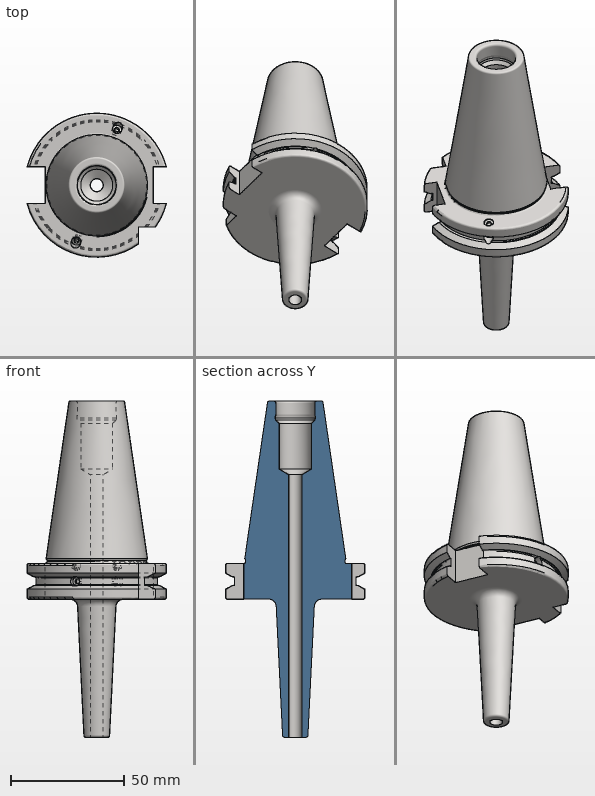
import cadquery as cq
import math

GAUGE_DIAMETER = 44.45
TAPER_LENGTH = 68.4
TAPER_HALF_ANGLE = math.atan(7 / 48)
TAPER_OVERRUN = 1.1
TAPER_TOP_FILLET = 0.8

NECK_RADIUS = 22.0
NECK_CHAMFER = 0.8
NECK_FILLET = 0.8

FLANGE_RADIUS = 63.55 / 2
FLANGE_TOP_Z = -3.2
FLANGE_BOTTOM_Z = -19.1
RIM_FILLET = 1.0
GROOVE_Z = -11.1
GROOVE_FLOOR_RADIUS = 28.0
GROOVE_FLOOR_WIDTH = 3.75
GROOVE_FLOOR_FILLET = 0.4
GROOVE_HALF_ANGLE = math.radians(30)
GROOVE_APEX_RADIUS = 25.65

SLOT_WIDTH = 16.1
LEFT_SLOT_X = -22.8
RIGHT_SLOT_X = 25.0
NOTCH_X = 18.5
NOTCH_Y = -18.5

SHANK_BOTTOM_Z = -80.0
SHANK_TIP_RADIUS = 5.65
SHANK_ROOT_RADIUS = 8.5
SHANK_ROOT_Z = -22.3
SHANK_ROOT_FILLET = 3.2
SHANK_TIP_FILLET = 1.0

BORE_RADIUS = 8.5
MOUTH_ROUNDING = 1.1
BORE_DEPTH = 6.0
UNDERCUT_RADIUS = 8.8
UNDERCUT_TOP_DEPTH = 7.0
UNDERCUT_BOTTOM_DEPTH = 7.6
COUNTERSINK_DEPTH = 8.5
THREAD_RADIUS = 7.05
THREAD_DEPTH = 30.0
DRILL_HALF_ANGLE = math.radians(59)
CHANNEL_RADIUS = 2.8

COOLANT_ANGLES = (math.radians(70), math.radians(250))
COOLANT_HOLE_DIAMETER = 4.2
TOP_HOLE_RADIUS = 27.0
TOP_HOLE_TILT = math.radians(30)
TOP_PLUG_DEPTH = 1.7
SIDE_HOLE_Z = -11.2
SIDE_PLUG_DEPTH = 3.0
SOCKET_ACROSS_FLATS = 2.0
SOCKET_DEPTH = 1.5


def taper_radius(z):
    return GAUGE_DIAMETER / 2 - z * math.tan(TAPER_HALF_ANGLE)


def revolve_profile(outline):
    return outline.close().revolve(360, (0, 0, 0), (0, 1, 0))


def taper_and_neck():
    base_radius = taper_radius(-TAPER_OVERRUN)
    chamfer_end_z = -TAPER_OVERRUN - NECK_CHAMFER
    body = revolve_profile(
        cq.Workplane("XZ")
        .moveTo(0, TAPER_LENGTH)
        .lineTo(taper_radius(TAPER_LENGTH), TAPER_LENGTH)
        .lineTo(base_radius, -TAPER_OVERRUN)
        .lineTo(NECK_RADIUS, chamfer_end_z)
        .lineTo(NECK_RADIUS, FLANGE_TOP_Z + NECK_FILLET)
        .radiusArc((NECK_RADIUS + NECK_FILLET, FLANGE_TOP_Z), -NECK_FILLET)
        .lineTo(0, FLANGE_TOP_Z)
    )
    return body.faces(">Z").edges().fillet(TAPER_TOP_FILLET)


def flange():
    rim_half = (FLANGE_RADIUS - GROOVE_APEX_RADIUS) * math.tan(GROOVE_HALF_ANGLE)
    floor_half = GROOVE_FLOOR_WIDTH / 2
    wall_top_radius = GROOVE_APEX_RADIUS + floor_half / math.tan(GROOVE_HALF_ANGLE)
    fillet_end_z = floor_half - GROOVE_FLOOR_FILLET
    fillet_end_radius = GROOVE_FLOOR_RADIUS + GROOVE_FLOOR_FILLET
    return revolve_profile(
        cq.Workplane("XZ")
        .moveTo(0, FLANGE_TOP_Z)
        .lineTo(FLANGE_RADIUS - RIM_FILLET, FLANGE_TOP_Z)
        .radiusArc((FLANGE_RADIUS, FLANGE_TOP_Z - RIM_FILLET), RIM_FILLET)
        .lineTo(FLANGE_RADIUS, GROOVE_Z + rim_half)
        .lineTo(wall_top_radius, GROOVE_Z + floor_half)
        .lineTo(fillet_end_radius, GROOVE_Z + floor_half)
        .radiusArc((GROOVE_FLOOR_RADIUS, GROOVE_Z + fillet_end_z), -GROOVE_FLOOR_FILLET)
        .lineTo(GROOVE_FLOOR_RADIUS, GROOVE_Z - fillet_end_z)
        .radiusArc((fillet_end_radius, GROOVE_Z - floor_half), -GROOVE_FLOOR_FILLET)
        .lineTo(wall_top_radius, GROOVE_Z - floor_half)
        .lineTo(FLANGE_RADIUS, GROOVE_Z - rim_half)
        .lineTo(FLANGE_RADIUS, FLANGE_BOTTOM_Z + RIM_FILLET)
        .radiusArc((FLANGE_RADIUS - RIM_FILLET, FLANGE_BOTTOM_Z), RIM_FILLET)
        .lineTo(0, FLANGE_BOTTOM_Z)
    )


def flange_cut(x_min, x_max, y_min, y_max):
    height = FLANGE_TOP_Z - FLANGE_BOTTOM_Z
    return cq.Workplane("XY", origin=(x_min, y_min, FLANGE_BOTTOM_Z)).box(
        x_max - x_min, y_max - y_min, height, centered=False
    )


def drive_slots():
    half = SLOT_WIDTH / 2
    left = flange_cut(-2 * FLANGE_RADIUS, LEFT_SLOT_X, -half, half)
    right = flange_cut(RIGHT_SLOT_X, 2 * FLANGE_RADIUS, -half, half)
    return left.union(right)


def orientation_notch():
    return flange_cut(NOTCH_X, 2 * FLANGE_RADIUS, -2 * FLANGE_RADIUS, NOTCH_Y)


def shank():
    slope = (SHANK_ROOT_RADIUS - SHANK_TIP_RADIUS) / (SHANK_ROOT_Z - SHANK_BOTTOM_Z)
    top_radius = SHANK_ROOT_RADIUS + slope * (FLANGE_BOTTOM_Z - SHANK_ROOT_Z)
    body = revolve_profile(
        cq.Workplane("XZ")
        .moveTo(0, FLANGE_BOTTOM_Z)
        .lineTo(top_radius, FLANGE_BOTTOM_Z)
        .lineTo(SHANK_TIP_RADIUS, SHANK_BOTTOM_Z)
        .lineTo(0, SHANK_BOTTOM_Z)
    )
    return body.faces("<Z").edges().fillet(SHANK_TIP_FILLET)


def axial_bore():
    thread_bottom_z = TAPER_LENGTH - THREAD_DEPTH
    cone_height = (THREAD_RADIUS - CHANNEL_RADIUS) / math.tan(DRILL_HALF_ANGLE)
    return revolve_profile(
        cq.Workplane("XZ")
        .moveTo(0, TAPER_LENGTH)
        .lineTo(BORE_RADIUS + MOUTH_ROUNDING, TAPER_LENGTH)
        .radiusArc((BORE_RADIUS, TAPER_LENGTH - MOUTH_ROUNDING), -MOUTH_ROUNDING)
        .lineTo(BORE_RADIUS, TAPER_LENGTH - BORE_DEPTH)
        .lineTo(UNDERCUT_RADIUS, TAPER_LENGTH - UNDERCUT_TOP_DEPTH)
        .lineTo(UNDERCUT_RADIUS, TAPER_LENGTH - UNDERCUT_BOTTOM_DEPTH)
        .lineTo(BORE_RADIUS, TAPER_LENGTH - COUNTERSINK_DEPTH)
        .lineTo(THREAD_RADIUS, TAPER_LENGTH - COUNTERSINK_DEPTH - (BORE_RADIUS - THREAD_RADIUS))
        .lineTo(THREAD_RADIUS, thread_bottom_z)
        .lineTo(CHANNEL_RADIUS, thread_bottom_z - cone_height)
        .lineTo(CHANNEL_RADIUS, SHANK_BOTTOM_Z)
        .lineTo(0, SHANK_BOTTOM_Z)
    )


def plugged_hole(mouth, inward, plug_depth):
    """Cutter for a hole entering at mouth, measured along its axis down to the plug."""
    axis = cq.Vector(*inward)
    plug_face = cq.Plane(cq.Vector(*mouth) + axis * plug_depth, xDir=(inward[1], -inward[0], 0), normal=axis)
    lead = COOLANT_HOLE_DIAMETER
    bore = (
        cq.Workplane(plug_face)
        .circle(COOLANT_HOLE_DIAMETER / 2)
        .extrude(-plug_depth - lead)
    )
    hexagon_corners = 6
    corner_diameter = SOCKET_ACROSS_FLATS / math.cos(math.pi / hexagon_corners)
    socket = cq.Workplane(plug_face).polygon(hexagon_corners, corner_diameter).extrude(SOCKET_DEPTH)
    return bore.union(socket)


def coolant_holes(angle):
    along_x = math.cos(angle)
    along_y = math.sin(angle)
    inward = math.sin(TOP_HOLE_TILT)
    down = math.cos(TOP_HOLE_TILT)
    top_hole = plugged_hole(
        (TOP_HOLE_RADIUS * along_x, TOP_HOLE_RADIUS * along_y, FLANGE_TOP_Z),
        (-along_x * inward, -along_y * inward, -down),
        TOP_PLUG_DEPTH,
    )
    side_hole = plugged_hole(
        (GROOVE_FLOOR_RADIUS * along_x, GROOVE_FLOOR_RADIUS * along_y, SIDE_HOLE_Z),
        (-along_x, -along_y, 0),
        SIDE_PLUG_DEPTH,
    )
    return top_hole.union(side_hole)


def blank():
    """Turned outside shape, with the shank blended into the flange."""
    joined = taper_and_neck().union(flange()).union(shank())
    half_box = SHANK_ROOT_RADIUS + SHANK_ROOT_FILLET
    margin = SHANK_ROOT_FILLET / 10
    root_edge = cq.selectors.BoxSelector(
        (-half_box, -half_box, FLANGE_BOTTOM_Z - margin),
        (half_box, half_box, FLANGE_BOTTOM_Z + margin),
        boundingbox=True,
    )
    return joined.edges(root_edge).fillet(SHANK_ROOT_FILLET)


result = blank().cut(drive_slots()).cut(orientation_notch()).cut(axial_bore())
for hole_angle in COOLANT_ANGLES:
    result = result.cut(coolant_holes(hole_angle))